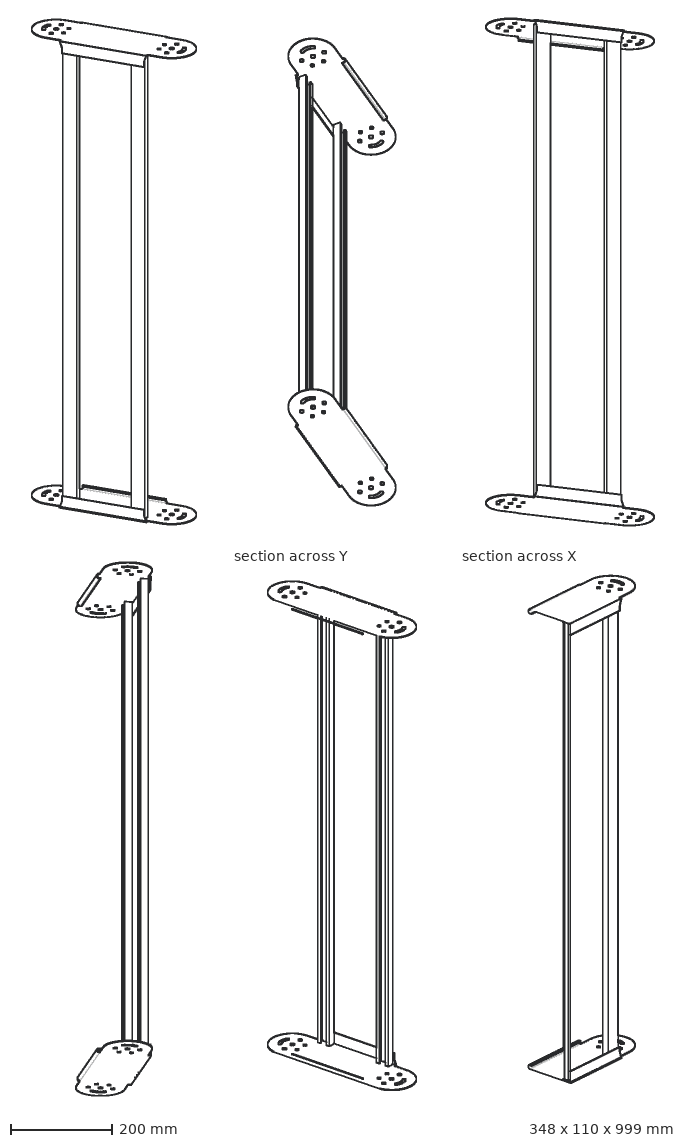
import cadquery as cq
import math

frame_height = 999.0
frame_width = 348.0
frame_depth = 110.0
sheet = 2.0
half_height = frame_height / 2
front_y = -frame_depth / 2
back_y = frame_depth / 2

plate_depth = 98.0
end_radius = plate_depth / 2
end_center_x = frame_width / 2 - end_radius

flange_height = 26.0
flange_root_half_width = 94.0
flange_taper_height = 14.0
hook_root_half_width = 93.0
hook_taper_height = 4.0
lower_half_width = 89.0
hook_radius = 5.0
hook_return = 4.0

pattern_radius = 25.0
bolt_hole_angle = 90.0
small_hole_angle = 150.0
bolt_hole_diameter = 8.0
small_hole_diameter = 7.0
center_hole_diameter = 9.0
slot_width = 7.0
slot_half_angle = 30.0

post_width = 30.0
post_depth = 15.0
post_wall = 3.0
post_lip = 7.5
post_length = 992.0
post_center_x = lower_half_width - post_width / 2
post_front_y = -50.0


def polar(radius, degrees):
    angle = math.radians(degrees)
    return radius * math.cos(angle), radius * math.sin(angle)


def tapered_block(root_half_width, taper_height, depth, start_y, end_y):
    """Block under the top face that tapers from its root to the lower width."""
    top = half_height
    right_side = [
        (root_half_width, top),
        (lower_half_width, top - taper_height),
        (lower_half_width, top - depth),
    ]
    left_side = [(-x, z) for x, z in reversed(right_side)]
    return (
        cq.Workplane("XZ", origin=(0, end_y, 0))
        .polyline(right_side + left_side)
        .close()
        .extrude(end_y - start_y)
    )


def front_flange():
    """Tab on the front edge of the plate with the flange bent down from it."""
    block = tapered_block(
        flange_root_half_width, flange_taper_height, flange_height, front_y, -end_radius
    )
    below_tab = (
        cq.Workplane("XY", origin=(0, 0, half_height - flange_height))
        .rect(frame_width, frame_depth - 2 * sheet)
        .extrude(flange_height - sheet)
    )
    return block.cut(below_tab)


def back_hook():
    """Half-round bend on the back edge that returns forward under the plate."""
    bend_y = back_y - hook_radius
    inner_radius = hook_radius - sheet
    top = half_height
    middle = top - hook_radius
    bottom = top - 2 * hook_radius
    strip = (
        cq.Workplane("YZ", origin=(-frame_width / 2, 0, 0))
        .moveTo(end_radius, top)
        .lineTo(bend_y, top)
        .threePointArc((back_y, middle), (bend_y, bottom))
        .lineTo(bend_y - hook_return, bottom)
        .lineTo(bend_y - hook_return, bottom + sheet)
        .lineTo(bend_y, bottom + sheet)
        .threePointArc((bend_y + inner_radius, middle), (bend_y, top - sheet))
        .lineTo(end_radius, top - sheet)
        .close()
        .extrude(frame_width)
    )
    return strip.intersect(
        tapered_block(
            hook_root_half_width, hook_taper_height, 2 * hook_radius, bend_y - hook_return, back_y
        )
    )


def end_cutouts():
    """Holes and arc slot around the end centre at +X."""
    plane = cq.Workplane("XY", origin=(end_center_x, 0, half_height - sheet))
    center_hole = plane.circle(center_hole_diameter / 2).extrude(sheet)
    bolt_places = [polar(pattern_radius, sign * bolt_hole_angle) for sign in (-1, 1)]
    bolt_holes = plane.pushPoints(bolt_places).circle(bolt_hole_diameter / 2).extrude(sheet)
    small_places = [polar(pattern_radius, sign * small_hole_angle) for sign in (-1, 1)]
    small_holes = plane.pushPoints(small_places).circle(small_hole_diameter / 2).extrude(sheet)

    outer = pattern_radius + slot_width / 2
    inner = pattern_radius - slot_width / 2
    end_cap = slot_width / 2
    cap_angle = slot_half_angle + math.degrees(end_cap / pattern_radius)
    slot = (
        plane.moveTo(*polar(outer, -slot_half_angle))
        .threePointArc((outer, 0), polar(outer, slot_half_angle))
        .threePointArc(polar(pattern_radius, cap_angle), polar(inner, slot_half_angle))
        .threePointArc((inner, 0), polar(inner, -slot_half_angle))
        .threePointArc(polar(pattern_radius, -cap_angle), polar(outer, -slot_half_angle))
        .close()
        .extrude(sheet)
    )
    return center_hole.union(bolt_holes).union(small_holes).union(slot)


def make_top_plate():
    plate = (
        cq.Workplane("XY", origin=(0, 0, half_height - sheet))
        .slot2D(frame_width, plate_depth)
        .extrude(sheet)
    )
    plate = plate.union(front_flange()).union(back_hook())
    cutouts = end_cutouts()
    return plate.cut(cutouts).cut(cutouts.mirror("YZ"))


def make_post(center_x):
    center_y = post_front_y + post_depth / 2
    plane = cq.Workplane("XY", origin=(center_x, center_y, -post_length / 2))
    tube = plane.rect(post_width, post_depth).extrude(post_length)
    hollow = plane.rect(post_width - 2 * post_wall, post_depth - 2 * post_wall).extrude(post_length)
    opening = (
        plane.center(0, post_depth / 2)
        .rect(post_width - 2 * post_lip, 2 * post_wall)
        .extrude(post_length)
    )
    return tube.cut(hollow).cut(opening)


top_plate = make_top_plate()
bottom_plate = top_plate.mirror("XY")
posts = [make_post(side * post_center_x) for side in (-1, 1)]

result = cq.Compound.makeCompound(
    [top_plate.val(), bottom_plate.val(), *[post.val() for post in posts]]
)